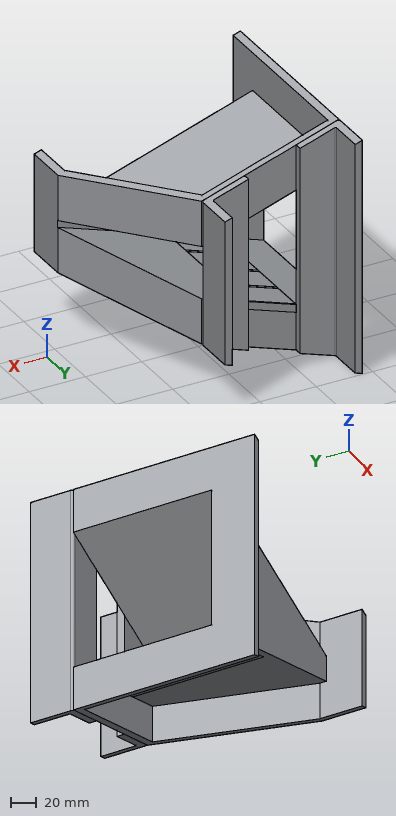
import cadquery as cq
import math

length = 183.0
depth = 198.1
height = 208.3
narrow_height = 87.0
wall = 6.5

back_face_y = 160.2
back_length = 121.9
bend_y = 38.8

duct_front_y = 31.7
duct_inner_half_height = 63.8

bracket_leg = 38.1
bracket_outer_radius = 2.5
bracket_inner_radius = 0.8

insert_start_x = 37.7
insert_end_x = 85.5
panel_count = 4
panel_gap = 3.0
strip_rise = 0.1
panel_rise = 0.2

taper = (height - narrow_height) / 2 / length
sloped_wall = wall * math.hypot(1, taper)
passage_front_y = duct_front_y + wall
passage_depth = back_face_y - passage_front_y
slant = (length - back_length) / (back_face_y - bend_y)
inner_back_length = back_length + wall * (slant - math.hypot(1, slant))
inner_bend_y = back_face_y - wall - (length - wall - inner_back_length) / slant


def tapered_prism(half_height, start_y, end_y):
    """Full-length block symmetric about Z = 0 that narrows toward +X."""
    end_half_height = half_height - taper * length
    profile = [
        (0, -half_height),
        (length, -end_half_height),
        (length, end_half_height),
        (0, half_height),
    ]
    return cq.Workplane("XZ", origin=(0, start_y, 0)).polyline(profile).close().extrude(start_y - end_y)


def plan_prism(points):
    """Plan outline extruded over the full height."""
    return cq.Workplane("XY").workplane(offset=-height / 2).polyline(points).close().extrude(height)


envelope = tapered_prism(height / 2, 0, depth)


def floor_strip(thickness, start_y, end_y):
    """Strip reaching down from the sloping duct floor, or up from it if the thickness is negative."""
    start_z = -duct_inner_half_height + taper * insert_start_x
    end_z = -duct_inner_half_height + taper * insert_end_x
    profile = [
        (insert_start_x, start_z),
        (insert_end_x, end_z),
        (insert_end_x, end_z - thickness),
        (insert_start_x, start_z - thickness),
    ]
    return cq.Workplane("XZ", origin=(0, start_y, 0)).polyline(profile).close().extrude(start_y - end_y)


def make_housing():
    """Bent-plate frame with the tapered duct passing through it."""
    outer = plan_prism([
        (0, 0),
        (length, 0),
        (length, bend_y),
        (back_length, back_face_y),
        (0, back_face_y),
    ])
    inner = plan_prism([
        (wall, 0),
        (length - wall, 0),
        (length - wall, inner_bend_y),
        (inner_back_length, back_face_y - wall),
        (wall, back_face_y - wall),
    ])
    frame = outer.cut(inner).intersect(envelope)
    duct = tapered_prism(duct_inner_half_height + sloped_wall, duct_front_y, back_face_y).intersect(outer)
    passage = tapered_prism(duct_inner_half_height, passage_front_y, back_face_y)
    insert_seat = floor_strip(sloped_wall, passage_front_y, back_face_y)
    return frame.union(duct).cut(passage).cut(insert_seat)


def make_bracket(corner_x, direction):
    """Angle bracket whose foot points along X in the given direction (+1 or -1)."""
    inner_x = corner_x + direction * wall
    foot_x = corner_x + direction * bracket_leg
    inner_y = back_face_y + wall
    profile = plan_prism([
        (corner_x, back_face_y),
        (foot_x, back_face_y),
        (foot_x, inner_y),
        (inner_x, inner_y),
        (inner_x, depth),
        (corner_x, depth),
    ])
    profile = profile.edges(cq.NearestToPointSelector((corner_x, back_face_y, 0))).fillet(bracket_outer_radius)
    profile = profile.edges(cq.NearestToPointSelector((inner_x, inner_y, 0))).fillet(bracket_inner_radius)
    return profile.intersect(envelope)


def make_floor_insert():
    """Slightly raised floor strip carrying a row of panels, the first one against the front wall."""
    insert = floor_strip(sloped_wall, passage_front_y, back_face_y)
    insert = insert.union(floor_strip(-strip_rise, passage_front_y, back_face_y))
    pitch = passage_depth / panel_count
    for index in range(panel_count):
        near_y = passage_front_y + index * pitch
        start_y = near_y if index == 0 else near_y + panel_gap / 2
        end_y = near_y + pitch - panel_gap / 2
        insert = insert.union(floor_strip(-panel_rise, start_y, end_y))
    return insert.clean()


housing = make_housing()
brackets = [make_bracket(x, direction) for x, direction in ((0, 1), (back_length, -1))]
floor_insert = make_floor_insert()

result = cq.Compound.makeCompound([
    housing.val(),
    *[bracket.val() for bracket in brackets],
    floor_insert.val(),
])